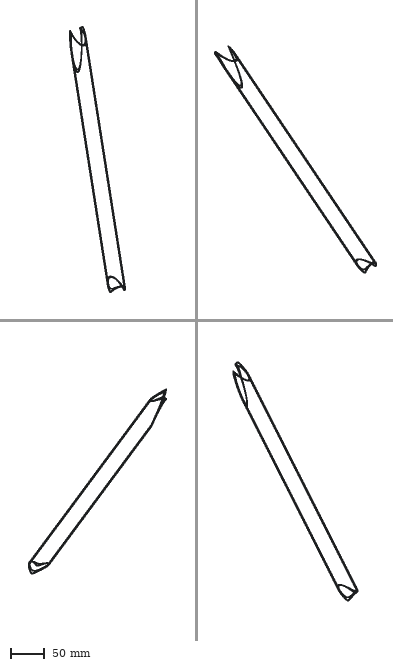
import cadquery as cq
tube_radius = 12.5
wall = 1.2

slope_x = -0.7335
slope_y = 0.2197
axis_x_at_origin = -0.2
axis_y_at_origin = -0.26

lower_node_z = -155.3
upper_node_z = 158.7

chord_clearance = 0.05
chord_radius = tube_radius + chord_clearance
lower_chord_direction = cq.Vector(1, 0, 0)
upper_chord_direction = cq.Vector(1, 0, -0.144)

leg_radius = tube_radius
leg_direction = cq.Vector(-0.30, 0.231, 1)
leg_offset = cq.Vector(-2.4, -1.3, 0)

stock_overrun = 15.0
cutter_half_length = 150.0
cutter_reach = 150.0
cutter_width = 4 * tube_radius

tube_direction = cq.Vector(slope_x, slope_y, 1).normalized()


def axis_point(z):
    """Point of the tube axis at height z."""
    return cq.Vector(axis_x_at_origin + slope_x * z, axis_y_at_origin + slope_y * z, z)


def tube_stock():
    """Straight tube that runs past both nodes, with its seam along the top."""
    start = axis_point(lower_node_z) - tube_direction * stock_overrun
    end = axis_point(upper_node_z) + tube_direction * stock_overrun
    length = (end - start).Length
    uphill = cq.Vector(0, 0, 1) - tube_direction * tube_direction.z
    plane = cq.Plane(start, xDir=uphill, normal=tube_direction)
    return cq.Workplane(plane).circle(tube_radius).circle(tube_radius - wall).extrude(length)


def joining_tube(centre, direction, radius):
    """Solid cylinder along a joining tube."""
    plane = cq.Plane(centre, normal=direction)
    return cq.Workplane(plane).circle(radius).extrude(cutter_half_length, both=True)


def end_cutter(centre, direction, outward):
    """Chord cylinder together with everything beyond its axis."""
    side = outward - direction * (outward.dot(direction) / direction.dot(direction))
    plane = cq.Plane(centre, xDir=side, normal=direction)
    beyond = (
        cq.Workplane(plane)
        .center(cutter_reach / 2, 0)
        .rect(cutter_reach, cutter_width)
        .extrude(cutter_half_length, both=True)
    )
    return joining_tube(centre, direction, chord_radius).union(beyond)


lower_node = axis_point(lower_node_z)
upper_node = axis_point(upper_node_z)

coped = tube_stock()
coped = coped.cut(end_cutter(lower_node, lower_chord_direction, tube_direction * -1))
coped = coped.cut(end_cutter(upper_node, upper_chord_direction, tube_direction))
coped = coped.cut(joining_tube(upper_node + leg_offset, leg_direction, leg_radius))

result = cq.Workplane(max(coped.solids().vals(), key=lambda solid: solid.Volume()))